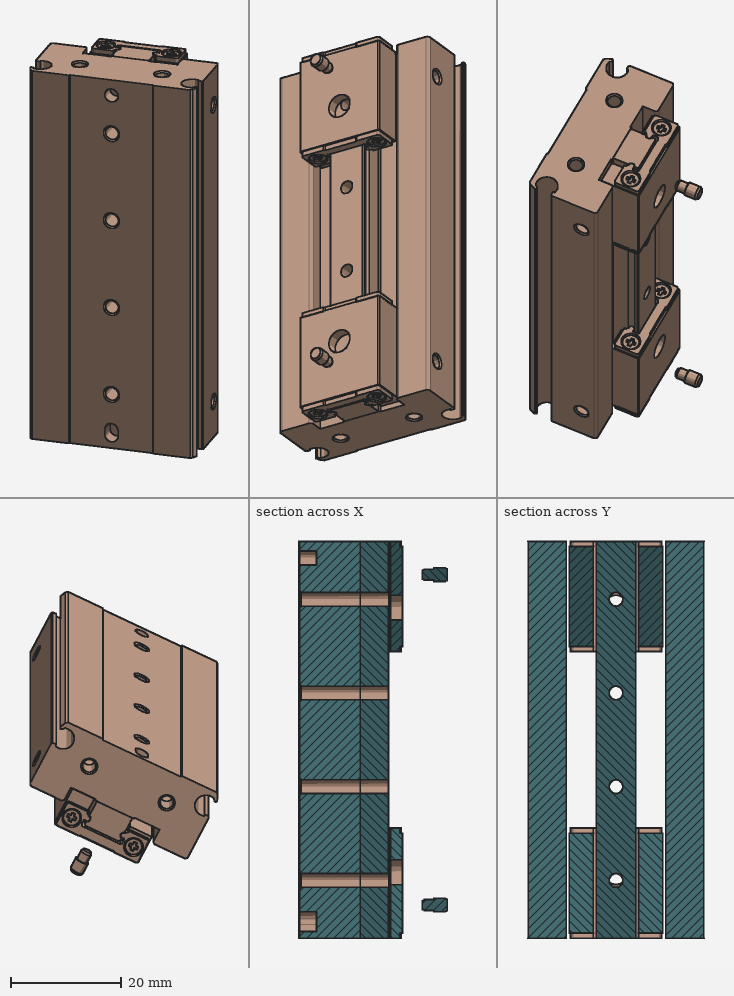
import cadquery as cq
import math


LENGTH = 72.0
MID_Z = LENGTH / 2
SIDES = (-1, 1)

TABLE_HALF_WIDTH = 16.0
TABLE_TOP_Y = 14.0
TABLE_EDGE_RADIUS = 0.6
RELIEF_HALF_WIDTH = 7.85
RELIEF_DEPTH = 0.2
CHANNEL_HALF_WIDTH = 9.0
CHANNEL_FLOOR_Y = 11.0
SEAT_HALF_WIDTH = 3.95
SEAT_Y = 11.2

LIP_TIP_X = 15.9
LIP_TIP_Y = 1.45
LIP_TOP_Y = 1.7
LIP_TOP_OUTER_X = 15.8
LIP_TOP_INNER_X = 15.5
LIP_KNEE = (15.5, 0.35)
LIP_FOOT_X = 15.05

SLOT_RADIUS = 2.0
SLOT_X = 14.5
SLOT_Y = 3.2
SLOT_MOUTH_X = 15.05
SLOT_MOUTH_TOP_Y = 4.75
SLOT_MOUTH_CHAMFER = 0.2

THREAD_DIAMETER = 2.45
THREAD_MOUTH_DIAMETER = 3.0
THREAD_MOUTH_DEPTH = (THREAD_MOUTH_DIAMETER - THREAD_DIAMETER) / 2
THREAD_DEPTH = 4.3
DRILL_POINT_DEPTH = THREAD_DIAMETER / 2 * math.tan(math.radians(30))
HOLE_PITCH = 17.0
HOLE_ROW = [MID_Z + HOLE_PITCH * step for step in (-1.5, -0.5, 0.5, 1.5)]
END_HOLE_X = 7.85
END_HOLE_Y = 5.8
SIDE_HOLE_Y = 10.95
SIDE_HOLE_INSET = 7.0
DOWEL_DIAMETER = 2.5
DOWEL_INSET = 3.0
DOWEL_SLOT_LENGTH = 3.5
DOWEL_DEPTH = 3.0

RAIL_HALF_WIDTH = 3.6
RAIL_TOP_Y = 16.35
RAIL_EDGE_CHAMFER = 0.2
RACE_Y = 15.0
RACE_HALF_HEIGHT = 0.65
RACE_DEPTH = 0.5

BLOCK_LENGTH = 20.0
CAP_THICKNESS = 0.9
BLOCK_HALF_WIDTH = 8.5
BLOCK_TOP_Y = 18.9
BLOCK_EDGE_CHAMFER = 0.2
SHORT_LEG_Y = 13.2
LEG_INNER_X = 4.1
WEB_Y = 16.7
WEB_CORNER = 0.2
TONGUE_TIP_X = 3.2
TONGUE_NOSE_X = 3.6
TONGUE_HALF_HEIGHT = 0.5
TONGUE_ROOT_Y = 14.1
WINDOW_DIAMETER = 4.5
WINDOW_INSET = 12.0

CAP_HALF_WIDTH = 8.3
CAP_TOP_Y = 18.65
CAP_LEG_Y = 13.75
CAP_EDGE_RADIUS = 0.4
CAP_DIP_HALF_WIDTH = 3.25
CAP_DIP_SLOPE = 0.35
CAP_DIP_DEPTH = 0.2
SCREW_X = 6.3
SCREW_Y = 16.1
SCREW_SEAT_DIAMETER = 3.5
SCREW_HEAD_DIAMETER = 3.0
SCREW_SEAT_DEPTH = (SCREW_SEAT_DIAMETER - SCREW_HEAD_DIAMETER) / 2
CROSS_LENGTH = 1.65
CROSS_WIDTH = 0.6
CROSS_DEPTH = 0.7

PIN_DIAMETER = 2.5
PIN_NECK_DIAMETER = 2.0
PIN_TOP_Y = 27.0
PIN_LENGTH = 4.6
PIN_NECK_LENGTH = 2.1
PIN_TOP_CHAMFER_LENGTH = 0.4
PIN_TIP_CHAMFER_LENGTH = 0.4
PIN_CHAMFER_WIDTH = 0.2
PIN_INSET = 6.05


def cone_mouth_hole(mouth, direction, depth, pointed):
    """Hole with a chamfered mouth, cut inwards along direction, with a drill point if blind."""
    radius = THREAD_DIAMETER / 2
    profile = (
        cq.Workplane("XZ")
        .moveTo(0, 0)
        .lineTo(THREAD_MOUTH_DIAMETER / 2, 0)
        .lineTo(radius, THREAD_MOUTH_DEPTH)
        .lineTo(radius, depth)
        .lineTo(0, depth + (DRILL_POINT_DEPTH if pointed else 0))
        .close()
    )
    cutter = profile.revolve(360, (0, 0, 0), (0, 1, 0)).val()
    return cutter.moved(cq.Location(cq.Plane(origin=mouth, xDir=perpendicular(direction), normal=direction)))


def perpendicular(direction):
    """An axis at right angles to the given axis direction."""
    return (0, 1, 0) if direction[0] else (1, 0, 0)


def table_blank():
    """Extruded table section with its channel, raised rail seat and slope-sided front relief."""
    right_edge = [(LIP_FOOT_X, 0), LIP_KNEE, (LIP_TIP_X, LIP_TIP_Y), (TABLE_HALF_WIDTH, SLOT_Y),
                  (TABLE_HALF_WIDTH, TABLE_TOP_Y), (CHANNEL_HALF_WIDTH, TABLE_TOP_Y),
                  (CHANNEL_HALF_WIDTH, CHANNEL_FLOOR_Y),
                  (SEAT_HALF_WIDTH, CHANNEL_FLOOR_Y), (SEAT_HALF_WIDTH, SEAT_Y)]
    left_edge = [(-x, y) for x, y in reversed(right_edge)]
    blank = cq.Workplane("XY").polyline(right_edge + left_edge).close().extrude(LENGTH)
    upper_edges = cq.selectors.BoxSelector(
        (-TABLE_HALF_WIDTH - 0.7, TABLE_TOP_Y - 0.1, 0.7), (TABLE_HALF_WIDTH + 0.7, TABLE_TOP_Y + 0.1, LENGTH - 0.7))
    blank = blank.edges("|Z").edges(upper_edges).fillet(TABLE_EDGE_RADIUS)
    relief_mouth = RELIEF_HALF_WIDTH + RELIEF_DEPTH
    relief_outline = [(-relief_mouth, 0), (-RELIEF_HALF_WIDTH, RELIEF_DEPTH),
                      (RELIEF_HALF_WIDTH, RELIEF_DEPTH), (relief_mouth, 0)]
    relief = cq.Workplane("XY").polyline(relief_outline).close().extrude(LENGTH)
    return blank.cut(relief)


def side_slot(side):
    """Round slot along one side, with its narrower mouth."""
    bore = cq.Workplane("XY").center(side * SLOT_X, SLOT_Y).circle(SLOT_RADIUS).extrude(LENGTH)
    outside = cq.Workplane("XY").center(side * (SLOT_MOUTH_X + SLOT_RADIUS), SLOT_Y)
    bore = bore.cut(outside.rect(2 * SLOT_RADIUS, 2 * SLOT_RADIUS).extrude(LENGTH))
    bore_low_y = SLOT_Y - math.sqrt(SLOT_RADIUS ** 2 - (SLOT_MOUTH_X - SLOT_X) ** 2)
    mouth_outline = [(SLOT_X, SLOT_MOUTH_TOP_Y),
                     (TABLE_HALF_WIDTH - SLOT_MOUTH_CHAMFER, SLOT_MOUTH_TOP_Y),
                     (TABLE_HALF_WIDTH, SLOT_MOUTH_TOP_Y + SLOT_MOUTH_CHAMFER), (TABLE_HALF_WIDTH, LIP_TIP_Y),
                     (LIP_TIP_X, LIP_TIP_Y), (LIP_TOP_OUTER_X, LIP_TOP_Y),
                     (LIP_TOP_INNER_X, LIP_TOP_Y), (SLOT_MOUTH_X, bore_low_y), (SLOT_X, SLOT_Y)]
    mouth = cq.Workplane("XY").polyline([(side * x, y) for x, y in mouth_outline]).close().extrude(LENGTH)
    return bore.union(mouth)


def mounting_hole(z):
    """Through hole from the front relief up to the top of the rail."""
    return cone_mouth_hole((0, RELIEF_DEPTH, z), (0, 1, 0), RAIL_TOP_Y, False)


def dowel_recesses():
    """Round dowel hole at the upper end and a slotted one at the lower end of the front face."""
    depth = RELIEF_DEPTH + DOWEL_DEPTH
    round_hole = cq.Workplane("XZ").center(0, LENGTH - DOWEL_INSET).circle(DOWEL_DIAMETER / 2).extrude(-depth)
    slot = cq.Workplane("XZ").center(0, DOWEL_INSET).slot2D(DOWEL_SLOT_LENGTH, DOWEL_DIAMETER, 90).extrude(-depth)
    return round_hole.union(slot)


def make_table():
    table = table_blank()
    for side in SIDES:
        table = table.cut(side_slot(side))
        for end_z, inwards in ((0, 1), (LENGTH, -1)):
            end_mouth = (side * END_HOLE_X, END_HOLE_Y, end_z)
            side_mouth = (side * TABLE_HALF_WIDTH, SIDE_HOLE_Y, end_z + inwards * SIDE_HOLE_INSET)
            table = table.cut(cq.Workplane(cone_mouth_hole(end_mouth, (0, 0, inwards), THREAD_DEPTH, True)))
            table = table.cut(cq.Workplane(cone_mouth_hole(side_mouth, (-side, 0, 0), THREAD_DEPTH, True)))
    for z in HOLE_ROW:
        table = table.cut(cq.Workplane(mounting_hole(z)))
    return table.cut(dowel_recesses())


def make_rail():
    """Full-length rail with a ball race along each side."""
    chamfer_y = RAIL_TOP_Y - RAIL_EDGE_CHAMFER
    chamfer_x = RAIL_HALF_WIDTH - RAIL_EDGE_CHAMFER
    race_x = RAIL_HALF_WIDTH - RACE_DEPTH
    race_low = RACE_Y - RACE_HALF_HEIGHT
    race_high = RACE_Y + RACE_HALF_HEIGHT
    rail = (
        cq.Workplane("XY")
        .moveTo(-RAIL_HALF_WIDTH, SEAT_Y)
        .lineTo(RAIL_HALF_WIDTH, SEAT_Y)
        .lineTo(RAIL_HALF_WIDTH, race_low)
        .threePointArc((race_x, RACE_Y), (RAIL_HALF_WIDTH, race_high))
        .lineTo(RAIL_HALF_WIDTH, chamfer_y)
        .lineTo(chamfer_x, RAIL_TOP_Y)
        .lineTo(-chamfer_x, RAIL_TOP_Y)
        .lineTo(-RAIL_HALF_WIDTH, chamfer_y)
        .lineTo(-RAIL_HALF_WIDTH, race_high)
        .threePointArc((-race_x, RACE_Y), (-RAIL_HALF_WIDTH, race_low))
        .close()
        .extrude(LENGTH)
    )
    for z in HOLE_ROW:
        rail = rail.cut(cq.Workplane(mounting_hole(z)))
    return rail


def saddle(half_width, top_y, left_leg_y, right_leg_y, length):
    """Inverted-U section astride the rail, with a rounded tongue in each ball race."""
    tongue_low = RACE_Y - TONGUE_HALF_HEIGHT
    tongue_high = RACE_Y + TONGUE_HALF_HEIGHT
    corner_x = LEG_INNER_X - WEB_CORNER
    corner_y = WEB_Y - WEB_CORNER
    return (
        cq.Workplane("XY")
        .moveTo(half_width, right_leg_y)
        .lineTo(half_width, top_y)
        .lineTo(-half_width, top_y)
        .lineTo(-half_width, left_leg_y)
        .lineTo(-LEG_INNER_X, left_leg_y)
        .lineTo(-LEG_INNER_X, TONGUE_ROOT_Y)
        .lineTo(-TONGUE_NOSE_X, tongue_low)
        .threePointArc((-TONGUE_TIP_X, RACE_Y), (-TONGUE_NOSE_X, tongue_high))
        .lineTo(-LEG_INNER_X, tongue_high)
        .lineTo(-LEG_INNER_X, corner_y)
        .lineTo(-corner_x, WEB_Y)
        .lineTo(corner_x, WEB_Y)
        .lineTo(LEG_INNER_X, corner_y)
        .lineTo(LEG_INNER_X, tongue_high)
        .lineTo(TONGUE_NOSE_X, tongue_high)
        .threePointArc((TONGUE_TIP_X, RACE_Y), (TONGUE_NOSE_X, tongue_low))
        .lineTo(LEG_INNER_X, TONGUE_ROOT_Y)
        .lineTo(LEG_INNER_X, right_leg_y)
        .close()
        .extrude(length)
    )


def screw_recess(x):
    """Countersunk screw recess with a cross in its floor, cut below the plane Z = CAP_THICKNESS."""
    seat = (
        cq.Workplane("XY", origin=(x, SCREW_Y, CAP_THICKNESS - SCREW_SEAT_DEPTH))
        .circle(SCREW_HEAD_DIAMETER / 2)
        .workplane(offset=SCREW_SEAT_DEPTH)
        .circle(SCREW_SEAT_DIAMETER / 2)
        .loft(ruled=True)
    )
    cross_plane = cq.Workplane("XY", origin=(x, SCREW_Y, CAP_THICKNESS - CROSS_DEPTH))
    cross = cross_plane.rect(CROSS_LENGTH, CROSS_WIDTH).extrude(CROSS_DEPTH)
    cross = cross.union(cross_plane.rect(CROSS_WIDTH, CROSS_LENGTH).extrude(CROSS_DEPTH))
    return seat.union(cross)


def end_cap():
    """End cap of a guide block, from Z = 0 up to its outer face at Z = CAP_THICKNESS."""
    cap = saddle(CAP_HALF_WIDTH, CAP_TOP_Y, CAP_LEG_Y, CAP_LEG_Y, CAP_THICKNESS)
    cap = cap.edges("|Z").edges("<X or >X").fillet(CAP_EDGE_RADIUS)
    dip_mouth = CAP_DIP_HALF_WIDTH + CAP_DIP_SLOPE
    dip_outline = [(-dip_mouth, CAP_TOP_Y), (-CAP_DIP_HALF_WIDTH, CAP_TOP_Y - CAP_DIP_DEPTH),
                   (CAP_DIP_HALF_WIDTH, CAP_TOP_Y - CAP_DIP_DEPTH), (dip_mouth, CAP_TOP_Y)]
    cap = cap.cut(cq.Workplane("XY").polyline(dip_outline).close().extrude(CAP_THICKNESS))
    for side in SIDES:
        cap = cap.cut(screw_recess(side * SCREW_X))
    return cap


def make_block():
    """Guide block at the upper end: steel middle with one leg down to rail seat level, and two caps."""
    body_length = BLOCK_LENGTH - 2 * CAP_THICKNESS
    body = saddle(BLOCK_HALF_WIDTH, BLOCK_TOP_Y, SHORT_LEG_Y, SEAT_Y, body_length)
    body = body.faces(">Y").edges("|Z").chamfer(BLOCK_EDGE_CHAMFER)
    body_base_z = LENGTH - CAP_THICKNESS - body_length
    body = body.translate((0, 0, body_base_z))
    upper_cap = end_cap().translate((0, 0, LENGTH - CAP_THICKNESS))
    lower_cap = end_cap().mirror("XY").translate((0, 0, body_base_z))
    window = (
        cq.Workplane("XZ")
        .center(0, LENGTH - WINDOW_INSET)
        .circle(WINDOW_DIAMETER / 2)
        .extrude(-BLOCK_TOP_Y)
    )
    return body.union(upper_cap).union(lower_cap).cut(window)


def make_pin(z):
    """Stepped pin along Y, chamfered at both ends."""
    radius = PIN_DIAMETER / 2
    neck_radius = PIN_NECK_DIAMETER / 2
    tip_y = PIN_TOP_Y - PIN_LENGTH
    shoulder_y = tip_y + PIN_NECK_LENGTH
    outline = [
        (0, tip_y),
        (neck_radius - PIN_CHAMFER_WIDTH, tip_y),
        (neck_radius, tip_y + PIN_TIP_CHAMFER_LENGTH),
        (neck_radius, shoulder_y),
        (radius, shoulder_y),
        (radius, PIN_TOP_Y - PIN_TOP_CHAMFER_LENGTH),
        (radius - PIN_CHAMFER_WIDTH, PIN_TOP_Y),
        (0, PIN_TOP_Y),
    ]
    pin = cq.Workplane("XY").polyline(outline).close().revolve(360, (0, 0, 0), (0, 1, 0))
    return pin.translate((0, 0, z))


table = make_table()
rail = make_rail()
blocks = [make_block().rotate((0, 0, MID_Z), (0, 1, MID_Z), turn) for turn in (0, 180)]
pins = [make_pin(z) for z in (PIN_INSET, LENGTH - PIN_INSET)]

result = cq.Compound.makeCompound(
    [table.val(), rail.val(), *[block.val() for block in blocks], *[pin.val() for pin in pins]]
)